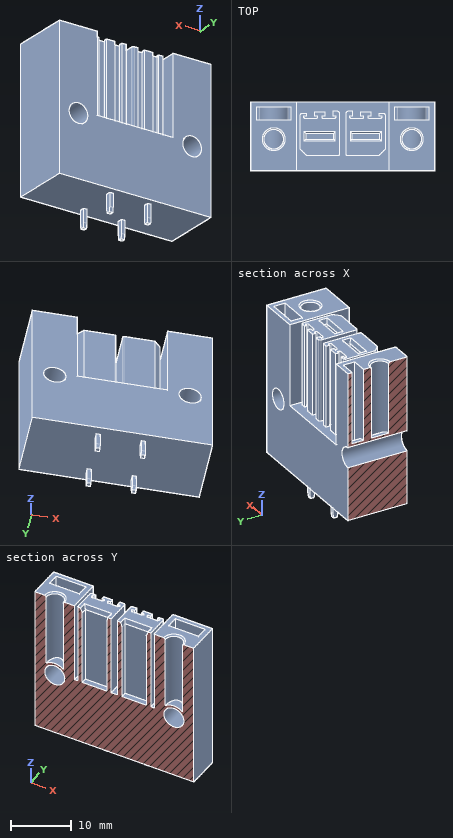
import cadquery as cq
import math

pitch = 7.62
half_pitch = pitch / 2

length = 4 * pitch
depth = 11.4
total_height = 31.5
pin_length = 3.5
height = total_height - pin_length
half_depth = depth / 2

recess_width = length / 2
recess_depth = 15.4
recess_floor = total_height - recess_depth

mount_x = 1.5 * pitch
cross_hole_diameter = 3.75
cross_hole_z = total_height - 16.0
screw_hole_y = -0.47
screw_hole_diameter = 3.25
countersink_diameter = 3.78
countersink_depth = (countersink_diameter - screw_hole_diameter) / 2
nut_pocket_width = 5.7
nut_pocket_thickness = 2.17
nut_pocket_back_wall = 0.82

saddle_diameter = 5.0
saddle_fillet = 0.25

tower_half_width = 3.25
tower_front = -3.18
tower_chamfer = 1.07
tower_inner_back = 4.15
tower_middle_back = 4.05
tower_outer_back = 3.8
tower_back_fillet = 0.3
tower_front_fillet = 0.2

groove_offset = 1.5
groove_mouth_width = 1.32
groove_undercut_width = 2.3
groove_floor = 2.95
groove_undercut_height = 0.45
groove_fillet = 0.25

cavity_width = 4.63
cavity_thickness = 1.0
lead_in_inner_end = -2.55
lead_in_outer_end = 2.65
lead_in_thickness = 1.6
lead_in_depth = 0.88

pin_width = 0.7
pin_thickness = 0.98
pin_tip_thickness = 0.7
pin_tip_length = 0.95


def box(x_size, y_size, z_size, x, y, z_top):
    """A box centred on (x, y) that hangs down from z_top."""
    return (
        cq.Workplane("XY", origin=(x, y, z_top - z_size))
        .box(x_size, y_size, z_size, centered=(True, True, False))
    )


def make_block():
    """The U-shaped block without its towers."""
    block = box(length, depth, height, 0, 0, total_height)
    return block.cut(box(recess_width, depth, recess_depth, 0, 0, total_height))


def cross_cylinder(diameter, x):
    """A cylinder along Y through the whole housing, on the axis of a cross hole."""
    return (
        cq.Workplane("XZ", origin=(x, half_depth, cross_hole_z))
        .circle(diameter / 2)
        .extrude(depth)
    )


def make_nut_pocket(x):
    """Pocket whose floor arches over the cross hole and is filleted into the end walls."""
    saddle_radius = saddle_diameter / 2
    half_width = nut_pocket_width / 2
    top = total_height - cross_hole_z
    fillet_x = half_width - saddle_fillet
    center_distance = saddle_radius + saddle_fillet
    fillet_z = math.sqrt(center_distance**2 - fillet_x**2)
    touch_x = fillet_x * saddle_radius / center_distance
    touch_z = fillet_z * saddle_radius / center_distance
    return (
        cq.Workplane("XZ", origin=(x, half_depth - nut_pocket_back_wall, cross_hole_z))
        .moveTo(-half_width, top)
        .lineTo(-half_width, fillet_z)
        .tangentArcPoint((-touch_x, touch_z), relative=False)
        .threePointArc((0, saddle_radius), (touch_x, touch_z))
        .tangentArcPoint((half_width, fillet_z), relative=False)
        .lineTo(half_width, top)
        .close()
        .extrude(nut_pocket_thickness)
    )


def make_mount_cuts(x):
    """Cross hole, countersunk screw hole and nut pocket of one end block."""
    cross_hole = cross_cylinder(cross_hole_diameter, x)
    screw_depth = total_height - cross_hole_z
    top = cq.Workplane("XY", origin=(x, screw_hole_y, total_height))
    countersink = (
        top.circle(countersink_diameter / 2)
        .workplane(offset=-countersink_depth)
        .circle(screw_hole_diameter / 2)
        .loft()
    )
    screw_hole = (
        top.circle(screw_hole_diameter / 2)
        .extrude(-screw_depth)
        .cut(cross_cylinder(saddle_diameter, x))
    )
    return cross_hole.union(screw_hole).union(countersink).union(make_nut_pocket(x))


def round_corner(body, x, y, radius):
    """Fillet the upright tower edge at (x, y)."""
    edge_middle = (x, y, recess_floor + recess_depth / 2)
    return body.edges("|Z").edges(cq.NearestToPointSelector(edge_middle)).fillet(radius)


def make_tower_body():
    """Tower without its grooves and cavity; its back steps inside the groove mouths."""
    outline = [
        (-tower_half_width, tower_front),
        (tower_half_width - tower_chamfer, tower_front),
        (tower_half_width, tower_front + tower_chamfer),
        (tower_half_width, tower_outer_back),
        (groove_offset, tower_outer_back),
        (groove_offset, tower_middle_back),
        (-groove_offset, tower_middle_back),
        (-groove_offset, tower_inner_back),
        (-tower_half_width, tower_inner_back),
    ]
    body = (
        cq.Workplane("XY", origin=(0, 0, recess_floor))
        .polyline(outline)
        .close()
        .extrude(recess_depth)
    )
    body = round_corner(body, tower_half_width, tower_outer_back, tower_back_fillet)
    body = round_corner(body, -tower_half_width, tower_inner_back, tower_back_fillet)
    return round_corner(body, -tower_half_width, tower_front, tower_front_fillet)


def make_groove(x):
    """T-shaped groove over the full height of the tower."""
    undercut_y = groove_floor + groove_undercut_height / 2
    undercut = box(
        groove_undercut_width, groove_undercut_height, recess_depth, x, undercut_y, total_height
    )
    undercut = undercut.edges("|Z").edges("<Y").fillet(groove_fillet)
    mouth_depth = half_depth - groove_floor
    mouth_y = groove_floor + mouth_depth / 2
    mouth = box(groove_mouth_width, mouth_depth, recess_depth, x, mouth_y, total_height)
    return undercut.union(mouth)


def make_cavity():
    """Contact cavity with a tapered lead-in at its top."""
    lead_in_width = lead_in_outer_end - lead_in_inner_end
    lead_in_x = (lead_in_outer_end + lead_in_inner_end) / 2
    lead_in = (
        cq.Workplane("XY", origin=(0, 0, total_height))
        .center(lead_in_x, 0)
        .rect(lead_in_width, lead_in_thickness)
        .workplane(offset=-lead_in_depth)
        .center(-lead_in_x, 0)
        .rect(cavity_width, cavity_thickness)
        .loft()
    )
    return lead_in.union(box(cavity_width, cavity_thickness, recess_depth, 0, 0, total_height))


def make_tower():
    """One tower in its local position, outward side toward +X."""
    tower = make_tower_body()
    for x in (-groove_offset, groove_offset):
        tower = tower.cut(make_groove(x))
    return tower.cut(make_cavity())


def make_housing():
    """Block with two mirrored towers and a screw mounting in each end."""
    housing = make_block()
    right_tower = make_tower().translate((half_pitch, 0, 0))
    housing = housing.union(right_tower).union(right_tower.mirror("YZ"))
    for x in (-mount_x, mount_x):
        housing = housing.cut(make_mount_cuts(x))
    return housing


def make_pin(x, y):
    """Solder pin under the housing, with a tip that tapers in Y only."""
    half = pin_thickness / 2
    half_tip = pin_tip_thickness / 2
    profile = [
        (-half, pin_length),
        (-half, pin_tip_length),
        (-half_tip, 0),
        (half_tip, 0),
        (half, pin_tip_length),
        (half, pin_length),
    ]
    return (
        cq.Workplane("YZ", origin=(x - pin_width / 2, y, 0))
        .polyline(profile)
        .close()
        .extrude(pin_width)
    )


housing = make_housing()
pins = [
    make_pin(x, y).val()
    for x in (-half_pitch, half_pitch)
    for y in (-half_pitch, half_pitch)
]

result = cq.Compound.makeCompound([housing.val(), *pins])